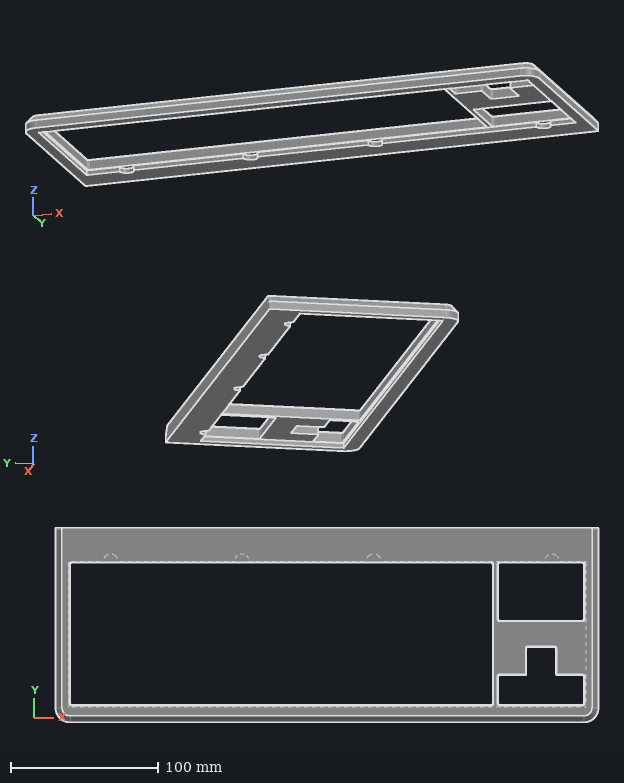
import cadquery as cq

LENGTH = 368.66
DEPTH = 132.25
HEIGHT = 10.5
CORNER_RADIUS = 10.0
REAR_CORNER_RADIUS = 1.0
BEVEL_WIDTH = 5.0
BEVEL_HEIGHT = 4.5

KEY_PITCH = 19.05
CLUSTER_GAP = KEY_PITCH / 4
MAIN_KEYS = 15
CLUSTER_KEYS = 3
KEY_ROWS = 5
TOP_CLUSTER_ROWS = 2
FRONT_BORDER = 12.0

KEY_CLEARANCE = 0.5
WINDOW_CORNER_RADIUS = 1.0
WINDOW_CHAMFER = 0.5

RECESS_MARGIN = 1.75
RECESS_DEPTH = 3.25
RELIEF_RADIUS = 5.0
RELIEF_CENTRES_X = (-147.0, -58.0, 31.5, 152.5)

GRID_LENGTH = MAIN_KEYS * KEY_PITCH + CLUSTER_GAP + CLUSTER_KEYS * KEY_PITCH
GRID_DEPTH = KEY_ROWS * KEY_PITCH
GRID_LEFT = -GRID_LENGTH / 2
GRID_FRONT = -DEPTH / 2 + FRONT_BORDER + KEY_CLEARANCE
CLUSTER_LEFT = GRID_LEFT + MAIN_KEYS * KEY_PITCH + CLUSTER_GAP


def bevelled_body():
    """Plate with rounded corners and a bevel along the left, front and right top edges."""
    plate = cq.Workplane("XY").box(LENGTH, DEPTH, HEIGHT, centered=(True, True, False))
    plate = plate.edges("|Z and <Y").fillet(CORNER_RADIUS)
    plate = plate.faces(">Z").edges("not >Y").chamfer(BEVEL_HEIGHT, BEVEL_WIDTH)
    return plate.faces(">Y").edges("not |X").fillet(REAR_CORNER_RADIUS)


def grid_block(left, front, length, depth, margin, height):
    """Block standing on the bottom plane over an area of the key grid grown by a margin."""
    return (
        cq.Workplane("XY")
        .box(length + 2 * margin, depth + 2 * margin, height, centered=False)
        .translate((left - margin, front - margin, 0))
    )


def key_area(left, first_row, keys, rows):
    """Through block around a group of keys, with clearance on every side."""
    front = GRID_FRONT + first_row * KEY_PITCH
    return grid_block(left, front, keys * KEY_PITCH, rows * KEY_PITCH, KEY_CLEARANCE, HEIGHT)


def windowed(plate):
    """Cut the key windows and chamfer their top rims."""
    arrow_row = key_area(CLUSTER_LEFT, first_row=0, keys=CLUSTER_KEYS, rows=1)
    arrow_up = key_area(CLUSTER_LEFT + KEY_PITCH, first_row=0, keys=1, rows=2)
    first_top_row = KEY_ROWS - TOP_CLUSTER_ROWS
    areas = (
        key_area(GRID_LEFT, 0, MAIN_KEYS, KEY_ROWS),
        key_area(CLUSTER_LEFT, first_top_row, CLUSTER_KEYS, TOP_CLUSTER_ROWS),
        arrow_row.union(arrow_up),
    )
    for area in areas:
        plate = plate.cut(area.edges("|Z").fillet(WINDOW_CORNER_RADIUS))
    rims = plate.faces(">Z").val().innerWires()
    rim_edges = [edge for rim in rims for edge in rim.Edges()]
    return plate.newObject(rim_edges).chamfer(WINDOW_CHAMFER)


def underside_recess():
    """Shallow pocket under the key grid, with round reliefs along its rear wall."""
    recess = grid_block(GRID_LEFT, GRID_FRONT, GRID_LENGTH, GRID_DEPTH, RECESS_MARGIN, RECESS_DEPTH)
    rear_wall = GRID_FRONT + GRID_DEPTH + RECESS_MARGIN
    reliefs = (
        cq.Workplane("XY")
        .pushPoints([(x, rear_wall) for x in RELIEF_CENTRES_X])
        .circle(RELIEF_RADIUS)
        .extrude(RECESS_DEPTH)
    )
    return recess.union(reliefs)


result = windowed(bevelled_body()).cut(underside_recess())